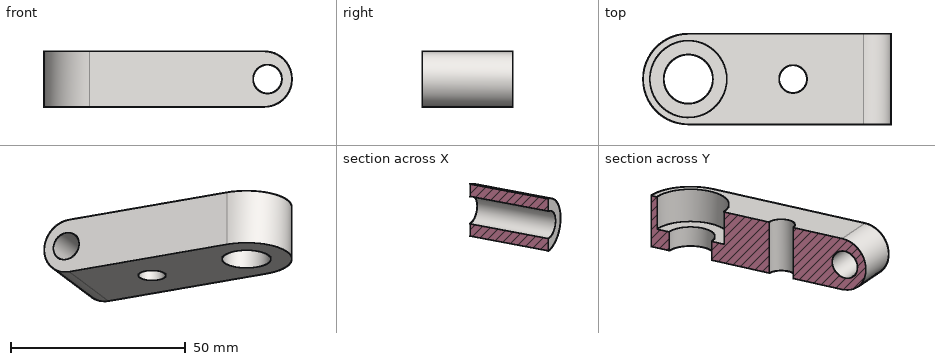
import cadquery as cq

length = 71.0
width = 26.0
height = 16.0

seat_radius = width / 2
seat_x = seat_radius
seat_diameter = 22.0
seat_depth = 10.0
bore_diameter = 14.0

middle_hole_x = 42.95
middle_hole_diameter = 7.9

nose_radius = height / 2
cross_hole_x = 64.0
cross_hole_diameter = 8.2


def vertical_hole(x, diameter, floor_z):
    """Cylinder cutting from the top face down to floor_z."""
    return (
        cq.Workplane("XY", origin=(x, 0, floor_z))
        .circle(diameter / 2)
        .extrude(height - floor_z)
    )


plan = (
    cq.Workplane("XY")
    .moveTo(seat_x, -width / 2)
    .lineTo(length, -width / 2)
    .lineTo(length, width / 2)
    .lineTo(seat_x, width / 2)
    .threePointArc((0, 0), (seat_x, -width / 2))
    .close()
    .extrude(height)
)

nose_x = length - nose_radius
side = (
    cq.Workplane("XZ")
    .lineTo(nose_x, 0)
    .threePointArc((length, height / 2), (nose_x, height))
    .lineTo(0, height)
    .close()
    .extrude(width / 2, both=True)
)

cross_hole = (
    cq.Workplane("XZ", origin=(cross_hole_x, 0, height / 2))
    .circle(cross_hole_diameter / 2)
    .extrude(width / 2, both=True)
)

result = (
    plan.intersect(side)
    .cut(vertical_hole(seat_x, seat_diameter, height - seat_depth))
    .cut(vertical_hole(seat_x, bore_diameter, 0))
    .cut(vertical_hole(middle_hole_x, middle_hole_diameter, 0))
    .cut(cross_hole)
)